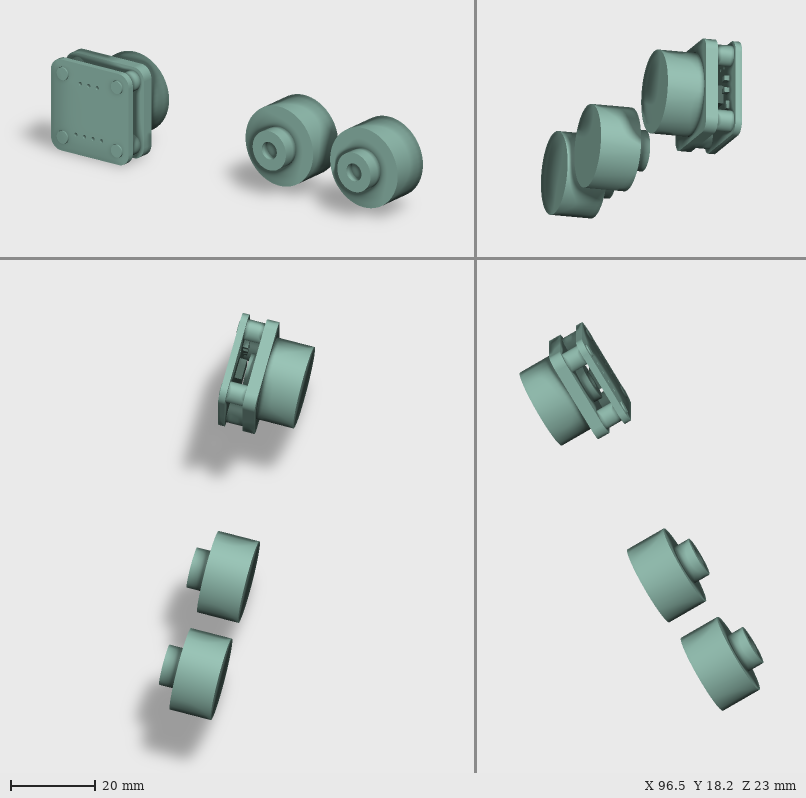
import cadquery as cq

OVERALL_LENGTH = 96.5
FIT_CLEARANCE = 0.2

KNOB_DIAMETER = 20.0
KNOB_DISC_LENGTH = 10.0
HUB_DIAMETER = 9.8
HUB_LENGTH = 4.0
KNOB_BORE_DIAMETER = 4.4
KNOB_BORE_DEPTH = 2.0

PLATE_SIDE = 23.0
CORNER_RADIUS = 3.0
PLATE_THICKNESS = 3.0
KNOB_RECESS_DIAMETER = KNOB_DIAMETER + FIT_CLEARANCE
KNOB_RECESS_DEPTH = 1
HUB_HOLE_DIAMETER = HUB_DIAMETER + FIT_CLEARANCE
STANDOFF_DIAMETER = 5.0
STANDOFF_LENGTH = 4.3
STANDOFF_SPACING = 16.0
PEG_DIAMETER = 3.2
PEG_PROTRUSION = 0.3

BOARD_THICKNESS = 1.6
PEG_HOLE_DIAMETER = PEG_DIAMETER + FIT_CLEARANCE
PIN_HOLE_DIAMETER = 1.0
PIN_PITCH = 2.5
PIN_ROW_X = -0.34
PIN_ROW_Z = 6.6
UPPER_PIN_COUNT = 3
LOWER_PIN_COUNT = 4

SENSOR_CHIP = (5.0, 1.7, 4.3, 0, 0)
SMALL_COMPONENTS = [
    (2.0, 1.3, 1.2, -6.0, 0),
    (2.0, 1.3, 1.2, -6.0, 2.9),
    (1.3, 0.9, 1.0, -6.4, -3.2),
    (1.5, 0.9, 1.0, -6.4, -4.15),
]

LAST_KNOB_X = OVERALL_LENGTH - PLATE_SIDE / 2 - KNOB_DIAMETER / 2
KNOB_PITCH = LAST_KNOB_X / 3
KNOB_CENTERS_X = [0, 2 * KNOB_PITCH, 3 * KNOB_PITCH]

PLATE_OUTER_DEPTH = KNOB_DISC_LENGTH - KNOB_RECESS_DEPTH
PLATE_INNER_DEPTH = PLATE_OUTER_DEPTH + PLATE_THICKNESS
BOARD_INNER_DEPTH = PLATE_INNER_DEPTH + STANDOFF_LENGTH
PEG_LENGTH = BOARD_THICKNESS + PEG_PROTRUSION


def at_depth(depth):
    """Sketch plane at a depth; extruding goes deeper, and its X and Y are the part's X and Z."""
    return cq.Workplane("XZ", origin=(0, -depth, 0))


def corner_cylinders(depth, diameter, length):
    corners = at_depth(depth).rarray(STANDOFF_SPACING, STANDOFF_SPACING, 2, 2)
    return corners.circle(diameter / 2).extrude(length)


def rounded_square(depth, thickness):
    square = at_depth(depth).rect(PLATE_SIDE, PLATE_SIDE).extrude(thickness)
    return square.edges("|Y").fillet(CORNER_RADIUS)


def make_knob(center_x):
    disc = at_depth(0).circle(KNOB_DIAMETER / 2).extrude(KNOB_DISC_LENGTH)
    hub = at_depth(KNOB_DISC_LENGTH).circle(HUB_DIAMETER / 2).extrude(HUB_LENGTH)
    bore_start = KNOB_DISC_LENGTH + HUB_LENGTH - KNOB_BORE_DEPTH
    bore = at_depth(bore_start).circle(KNOB_BORE_DIAMETER / 2).extrude(KNOB_BORE_DEPTH)
    return disc.union(hub).cut(bore).translate((center_x, 0, 0))


def make_bracket():
    plate = rounded_square(PLATE_OUTER_DEPTH, PLATE_THICKNESS)
    recess = at_depth(PLATE_OUTER_DEPTH).circle(KNOB_RECESS_DIAMETER / 2).extrude(KNOB_RECESS_DEPTH)
    hub_hole = at_depth(PLATE_OUTER_DEPTH).circle(HUB_HOLE_DIAMETER / 2).extrude(PLATE_THICKNESS)
    standoffs = corner_cylinders(PLATE_INNER_DEPTH, STANDOFF_DIAMETER, STANDOFF_LENGTH)
    pegs = corner_cylinders(BOARD_INNER_DEPTH, PEG_DIAMETER, PEG_LENGTH)
    return plate.cut(recess).cut(hub_hole).union(standoffs).union(pegs)


def pin_holes(count, row_z):
    row = at_depth(BOARD_INNER_DEPTH).center(PIN_ROW_X, row_z).rarray(PIN_PITCH, 1, count, 1)
    return row.circle(PIN_HOLE_DIAMETER / 2).extrude(BOARD_THICKNESS)


def board_component(width_x, height, width_z, center_x, center_z):
    top = at_depth(BOARD_INNER_DEPTH - height).center(center_x, center_z)
    return top.rect(width_x, width_z).extrude(height)


def make_board():
    board = rounded_square(BOARD_INNER_DEPTH, BOARD_THICKNESS)
    peg_holes = corner_cylinders(BOARD_INNER_DEPTH, PEG_HOLE_DIAMETER, BOARD_THICKNESS)
    board = board.cut(peg_holes)
    board = board.cut(pin_holes(UPPER_PIN_COUNT, PIN_ROW_Z))
    board = board.cut(pin_holes(LOWER_PIN_COUNT, -PIN_ROW_Z))
    for component in [SENSOR_CHIP, *SMALL_COMPONENTS]:
        board = board.union(board_component(*component))
    return board


knobs = [make_knob(center_x) for center_x in KNOB_CENTERS_X]
bracket = make_bracket()
board = make_board()

result = cq.Compound.makeCompound([*[knob.val() for knob in knobs], bracket.val(), board.val()])